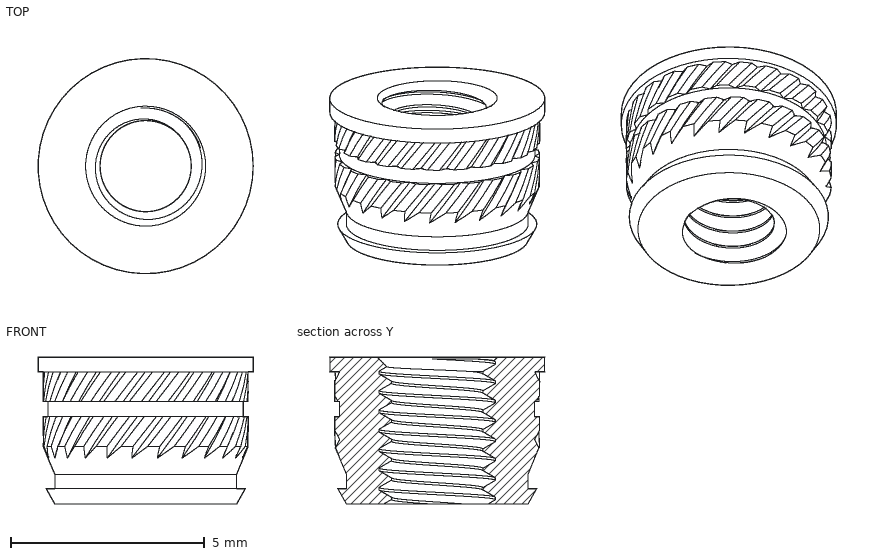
import cadquery as cq
import math

total_height = 3.8
flare_top = 0.4
neck_top = 0.765
cone_top = 1.495
lower_knurl_top = 2.26
upper_knurl_bottom = 2.65
flange_bottom = 3.42

flange_diameter = 5.56
knurl_diameter = 5.3
groove_diameter = 5.05
neck_diameter = 4.7
flare_diameter = 5.15

tooth_count = 24
tooth_pitch_angle = 360 / tooth_count
knurl_notch_share = 0.55
knurl_root_diameter = groove_diameter
knurl_twist_rate = 17.0
knurl_start_height = 1.15
knurl_start_angle = -8.8

thread_diameter = 3.0
thread_pitch = 0.5
thread_flank_angle = 30
thread_root_width = thread_pitch / 8
bore_diameter = 2.35
chamfer_diameter = 3.1
core_diameter = 3.8
thread_start_height = -0.85
thread_top_overrun = 0.5
thread_inner_overlap = 0.04


def point_at(radius, angle):
    """Point in the XY plane from a radius and an angle in degrees."""
    return (radius * math.cos(math.radians(angle)), radius * math.sin(math.radians(angle)))


def make_cylinder(diameter, bottom, top):
    return cq.Workplane("XY").workplane(offset=bottom).circle(diameter / 2).extrude(top - bottom)


def make_cone(bottom_diameter, top_diameter, bottom, top):
    """Truncated cone about Z."""
    return (
        cq.Workplane("XZ")
        .moveTo(0, bottom)
        .lineTo(bottom_diameter / 2, bottom)
        .lineTo(top_diameter / 2, top)
        .lineTo(0, top)
        .close()
        .revolve(360, (0, 0, 0), (0, 1, 0))
    )


def make_knurl(bottom, top):
    """Barrel section with twisted V-grooves between its teeth."""
    outer = knurl_diameter / 2
    root = knurl_root_diameter / 2
    half_notch = tooth_pitch_angle * knurl_notch_share / 2
    first_root = knurl_start_angle + knurl_twist_rate * (bottom - knurl_start_height)

    profile = cq.Workplane("XY").workplane(offset=bottom).moveTo(*point_at(root, first_root))
    for tooth in range(tooth_count):
        angle = first_root + tooth * tooth_pitch_angle
        next_root = angle + tooth_pitch_angle
        profile = (
            profile.lineTo(*point_at(outer, angle + half_notch))
            .threePointArc(
                point_at(outer, angle + tooth_pitch_angle / 2),
                point_at(outer, next_root - half_notch),
            )
        )
        if tooth < tooth_count - 1:
            profile = profile.lineTo(*point_at(root, next_root))
    profile = profile.lineTo(*point_at(root, first_root)).close()
    return profile.twistExtrude(top - bottom, knurl_twist_rate * (top - bottom))


def make_lower_barrel():
    """Lower knurl whose grooves run out on the lead-in cone."""
    envelope = make_cone(neck_diameter, knurl_diameter, neck_top, cone_top)
    envelope = envelope.union(make_cylinder(knurl_diameter, cone_top, lower_knurl_top))
    plain_cone = envelope.intersect(make_cylinder(flange_diameter, neck_top, knurl_start_height))
    knurled = envelope.intersect(make_knurl(knurl_start_height, lower_knurl_top))
    return plain_cone.union(knurled)


def make_outer_body():
    body = make_cone(neck_diameter, flare_diameter, 0, flare_top)
    body = body.union(make_cylinder(neck_diameter, flare_top, neck_top))
    body = body.union(make_lower_barrel())
    body = body.union(make_cylinder(groove_diameter, lower_knurl_top, upper_knurl_bottom))
    body = body.union(make_knurl(upper_knurl_bottom, flange_bottom))
    return body.union(make_cylinder(flange_diameter, flange_bottom, total_height))


def make_thread_cutter():
    """Helical trapezoid that cuts the internal thread out of the bore wall."""
    root = thread_diameter / 2
    inner = bore_diameter / 2 - thread_inner_overlap
    half_root = thread_root_width / 2
    half_mouth = half_root + (root - inner) * math.tan(math.radians(thread_flank_angle))

    length = total_height + thread_top_overrun - thread_start_height
    helix = cq.Wire.makeHelix(thread_pitch, length, inner, center=cq.Vector(0, 0, thread_start_height))
    return (
        cq.Workplane("XZ")
        .polyline([
            (inner, thread_start_height - half_mouth),
            (root, thread_start_height - half_root),
            (root, thread_start_height + half_root),
            (inner, thread_start_height + half_mouth),
        ])
        .close()
        .sweep(cq.Workplane(helix), isFrenet=True)
    )


def make_threaded_core():
    """Full-height sleeve that carries the bore, its chamfer and the thread."""
    chamfer_depth = (chamfer_diameter - bore_diameter) / 2
    core = make_cylinder(core_diameter, 0, total_height)
    core = core.cut(make_cylinder(bore_diameter, 0, total_height))
    core = core.cut(make_thread_cutter())
    return core.cut(make_cone(bore_diameter, chamfer_diameter, total_height - chamfer_depth, total_height))


outer_shell = make_outer_body().cut(make_cylinder(core_diameter, 0, total_height))
result = outer_shell.union(make_threaded_core())